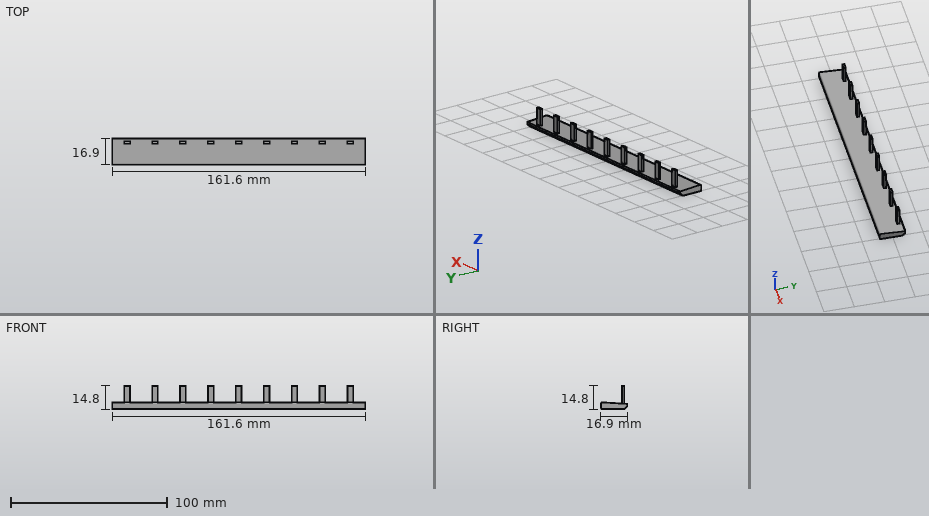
import cadquery as cq

BAR_LENGTH = 161.6
BAR_DEPTH = 16.9
TOTAL_HEIGHT = 14.85

FRONT_HEIGHT = 4.5
BACK_HEIGHT = 3.45
BACK_CHAMFER = 2.0
FRONT_RADIUS = 1.0

PIN_COUNT = 9
PIN_PITCH = 17.8
PIN_WIDTH = 3.8
PIN_THICKNESS = 1.5
PIN_BACK_INSET = 2.0

FRONT_Y = -BAR_DEPTH / 2
BACK_Y = BAR_DEPTH / 2


def bar_top_height(y):
    """Height of the bar's top face, which falls evenly from front to back."""
    return FRONT_HEIGHT + (BACK_HEIGHT - FRONT_HEIGHT) * (y - FRONT_Y) / BAR_DEPTH


def extrude_along_x(points, center_x, length):
    """Prism with a Y-Z outline, centred on center_x."""
    plane = cq.Workplane("YZ", origin=(center_x, 0, 0))
    return plane.polyline(points).close().extrude(length / 2, both=True)


def make_bar():
    """Long bar with a sloping top, a chamfered lower back edge and rounded front edges."""
    outline = [
        (FRONT_Y, 0),
        (BACK_Y - BACK_CHAMFER, 0),
        (BACK_Y, BACK_CHAMFER),
        (BACK_Y, BACK_HEIGHT),
        (FRONT_Y, FRONT_HEIGHT),
    ]
    body = extrude_along_x(outline, 0, BAR_LENGTH)
    body = body.faces("<Y").edges(">Z").fillet(FRONT_RADIUS)
    return body.faces("<Y").edges("<Z").fillet(FRONT_RADIUS)


def make_pin(center_x):
    """Flat contact pin whose foot rests on the bar's sloping top face."""
    pin_back = BACK_Y - PIN_BACK_INSET
    pin_front = pin_back - PIN_THICKNESS
    outline = [
        (pin_front, bar_top_height(pin_front)),
        (pin_back, bar_top_height(pin_back)),
        (pin_back, TOTAL_HEIGHT),
        (pin_front, TOTAL_HEIGHT),
    ]
    return extrude_along_x(outline, center_x, PIN_WIDTH)


bar = make_bar()

first_pin_x = -PIN_PITCH * (PIN_COUNT - 1) / 2
pins = [make_pin(first_pin_x + index * PIN_PITCH) for index in range(PIN_COUNT)]

result = cq.Compound.makeCompound([bar.val(), *[pin.val() for pin in pins]])